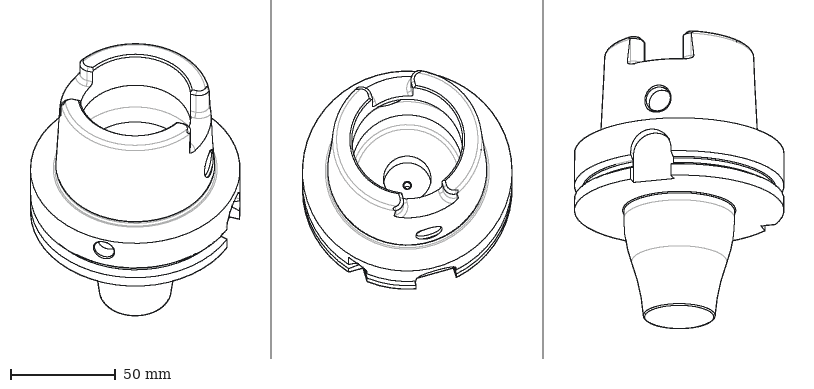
import cadquery as cq
import math

shank_top = 50.0
flange_height = 29.0
total_height = 132.9
nose_bottom = shank_top - total_height

flange_radius = 50.0
groove_root_radius = 45.9
groove_center_z = -20.0
groove_root_half = 1.6
groove_mouth_half = 3.3
groove_root_round = 0.7

shank_top_radius = 35.5
shank_bottom_radius = 37.9
relief_top = 2.5
relief_bottom = 1.7
relief_radius = 37.3
relief_round = 0.9
relief_floor = -0.1
relief_foot_radius = 39.1
leg_edge_round = 1.9

nose_radius = 26.5
nose_foot = 0.5
nose_cylinder_length = 4.1
nose_middle_radius = 22.7
nose_middle_z = -55.0
nose_tip_radius = 17.1
nose_tip_chamfer = 0.7

bore_radius = 26.5
bore_mouth_chamfer = 0.9
bore_neck_depth = 20.1
chamber_radius = 31.5
chamber_cone_height = (chamber_radius - bore_radius) * math.tan(math.radians(30))
chamber_round = chamber_radius - bore_radius
chamber_round_top = 10.1
floor_z = -12.2
floor_round = 1.7
tube_hole_radius = 11.3
tube_hole_depth = 10.6
center_hole_radius = 2.0
center_hole_depth = 6.6
center_hole_chamfer = 0.4

slot_half_width = 10.0
slot_straight_end = 27.1
slot_flare_radius = 5.0
slot_floor_round = 2.0
slot_mouth_chamfer = 1.6
slot_depth_minus_x = 10.0
slot_depth_plus_x = 15.0

cross_hole_radius = 6.0
cross_hole_z = 15.0
cross_hole_mouth_radius = 7.0
cross_hole_chamfer = cross_hole_mouth_radius - cross_hole_radius
cross_hole_mouth_x = 37.2

notch_radius = 10.0
notch_center_z = -15.0
drive_floor = 44.0
index_floor = 31.9
index_center_y = 41.3

rim_hole_radius = 4.9
rim_hole_z = -6.9
rim_hole_depth = 6.0
rim_hole_chamfer = 0.7
rim_pilot_radius = 0.5
rim_pilot_depth = 2.7

overshoot = 6.6
mouth_overshoot = 0.7


def make_body():
    """Revolved outside of the shank, flange and nose."""
    foot_z = -flange_height
    groove_corner_reach = (groove_root_half + groove_mouth_half) / 2
    groove_points = [
        (flange_radius, groove_center_z + groove_mouth_half),
        (groove_root_radius, groove_center_z + groove_root_half),
        (groove_root_radius, groove_center_z - groove_root_half),
        (flange_radius, groove_center_z - groove_mouth_half),
    ]
    profile = (
        cq.Workplane("XZ")
        .moveTo(0, shank_top)
        .lineTo(shank_top_radius, shank_top)
        .lineTo(shank_bottom_radius, relief_top)
        .lineTo(relief_radius, relief_bottom)
        .lineTo(relief_radius, relief_floor + relief_round)
        .tangentArcPoint((relief_radius + relief_round, relief_floor), relative=False)
        .lineTo(relief_foot_radius, 0)
        .lineTo(flange_radius, 0)
    )
    for radius, z in groove_points:
        profile = profile.lineTo(radius, z)
    profile = (
        profile.lineTo(flange_radius, foot_z)
        .lineTo(nose_radius + nose_foot, foot_z)
        .lineTo(nose_radius, foot_z - nose_foot)
        .lineTo(nose_radius, foot_z - nose_cylinder_length)
        .tangentArcPoint((nose_middle_radius, nose_middle_z), relative=False)
        .tangentArcPoint((nose_tip_radius, nose_bottom + nose_tip_chamfer), relative=False)
        .lineTo(nose_tip_radius - nose_tip_chamfer, nose_bottom)
        .lineTo(0, nose_bottom)
        .close()
    )
    body = profile.revolve(360, (0, 0, 0), (0, 1, 0))
    groove_corners = cq.selectors.BoxSelector(
        (-flange_radius, -flange_radius, groove_center_z - groove_corner_reach),
        (flange_radius, flange_radius, groove_center_z + groove_corner_reach),
    )
    body = body.edges(groove_corners).edges("%CIRCLE").fillet(groove_root_round)
    return body.faces(">Z").edges().fillet(leg_edge_round)


def make_bore():
    """Revolved cavity: necked bore, wider chamber, deep bore, tube hole and centre hole."""
    neck_z = shank_top - bore_neck_depth
    tube_z = floor_z - tube_hole_depth
    return (
        cq.Workplane("XZ")
        .moveTo(0, shank_top)
        .lineTo(bore_radius + bore_mouth_chamfer, shank_top)
        .lineTo(bore_radius, shank_top - bore_mouth_chamfer)
        .lineTo(bore_radius, neck_z)
        .lineTo(chamber_radius, neck_z - chamber_cone_height)
        .lineTo(chamber_radius, chamber_round_top)
        .tangentArcPoint((bore_radius, chamber_round_top - chamber_round), relative=False)
        .lineTo(bore_radius, floor_z + floor_round)
        .tangentArcPoint((bore_radius - floor_round, floor_z), relative=False)
        .lineTo(tube_hole_radius, floor_z)
        .lineTo(tube_hole_radius, tube_z)
        .lineTo(center_hole_radius, tube_z)
        .lineTo(center_hole_radius - center_hole_chamfer, tube_z - center_hole_chamfer)
        .lineTo(center_hole_radius - center_hole_chamfer, tube_z - center_hole_depth)
        .lineTo(0, tube_z - center_hole_depth)
        .close()
        .revolve(360, (0, 0, 0), (0, 1, 0))
    )


def make_wall_slot(side, depth):
    """Slot through the shank wall on one X side, flaring outwards, with a rounded floor edge."""
    flare_x = slot_straight_end + slot_flare_radius
    flare_y = slot_half_width + slot_flare_radius
    outer_y = flare_y + overshoot
    outer_x = shank_bottom_radius + overshoot
    inner_x = bore_radius / 2

    def outline(z):
        """Plan outline of the slot at height z."""
        return (
            cq.Workplane("XY", origin=(0, 0, z))
            .moveTo(inner_x, -slot_half_width)
            .lineTo(slot_straight_end, -slot_half_width)
            .tangentArcPoint((flare_x, -flare_y), relative=False)
            .lineTo(flare_x, -outer_y)
            .lineTo(outer_x, -outer_y)
            .lineTo(outer_x, outer_y)
            .lineTo(flare_x, outer_y)
            .lineTo(flare_x, flare_y)
            .tangentArcPoint((slot_straight_end, slot_half_width), relative=False)
            .lineTo(inner_x, slot_half_width)
            .close()
        )

    straight = (
        outline(shank_top - depth)
        .extrude(depth)
        .faces("<Z")
        .edges("not(<X or >X or <Y or >Y)")
        .fillet(slot_floor_round)
    )
    mouth = outline(shank_top - slot_mouth_chamfer).extrude(slot_mouth_chamfer + mouth_overshoot, taper=-45)
    slot = straight.union(mouth)
    return slot if side > 0 else slot.rotate((0, 0, 0), (0, 0, 1), 180)


def make_flange_notch(side, floor, center_y):
    """Notch open downwards with a semicircular top, cut along X to a flat floor."""
    length = flange_radius + overshoot - floor
    bottom_z = -flange_height
    notch = (
        cq.Workplane("YZ", origin=(floor, 0, 0))
        .moveTo(center_y - notch_radius, bottom_z)
        .lineTo(center_y - notch_radius, notch_center_z)
        .threePointArc(
            (center_y, notch_center_z + notch_radius),
            (center_y + notch_radius, notch_center_z),
        )
        .lineTo(center_y + notch_radius, bottom_z)
        .close()
        .extrude(length)
    )
    return notch if side > 0 else notch.mirror("YZ")


def make_rim_hole():
    """Blind hole with a small pilot in its floor, along +Y from the flange rim."""
    floor_y = -flange_radius + rim_hole_depth
    mouth = rim_hole_radius + rim_hole_chamfer
    return (
        cq.Workplane("XY")
        .moveTo(0, -flange_radius - overshoot)
        .lineTo(mouth, -flange_radius - overshoot)
        .lineTo(mouth, -flange_radius)
        .lineTo(rim_hole_radius, -flange_radius + rim_hole_chamfer)
        .lineTo(rim_hole_radius, floor_y)
        .lineTo(rim_pilot_radius, floor_y)
        .lineTo(rim_pilot_radius, floor_y + rim_pilot_depth)
        .lineTo(0, floor_y + rim_pilot_depth)
        .close()
        .revolve(360, (0, 0, 0), (0, 1, 0))
        .translate((0, 0, rim_hole_z))
    )


def make_cross_hole():
    """Hole along X through both shank walls, with a countersunk mouth at each end."""
    mouth_x = cross_hole_mouth_x
    hole = (
        cq.Workplane("XY")
        .moveTo(-flange_radius, 0)
        .lineTo(-flange_radius, cross_hole_mouth_radius)
        .lineTo(-mouth_x, cross_hole_mouth_radius)
        .lineTo(cross_hole_chamfer - mouth_x, cross_hole_radius)
        .lineTo(mouth_x - cross_hole_chamfer, cross_hole_radius)
        .lineTo(mouth_x, cross_hole_mouth_radius)
        .lineTo(flange_radius, cross_hole_mouth_radius)
        .lineTo(flange_radius, 0)
        .close()
        .revolve(360, (0, 0, 0), (1, 0, 0))
    )
    return hole.translate((0, 0, cross_hole_z))


result = make_body()
result = result.cut(make_bore()).cut(make_cross_hole())
for side, depth in ((-1, slot_depth_minus_x), (1, slot_depth_plus_x)):
    result = result.cut(make_wall_slot(side, depth))
for side in (-1, 1):
    result = result.cut(make_flange_notch(side, drive_floor, 0))
result = result.cut(make_flange_notch(-1, index_floor, index_center_y))
result = result.cut(make_rim_hole())